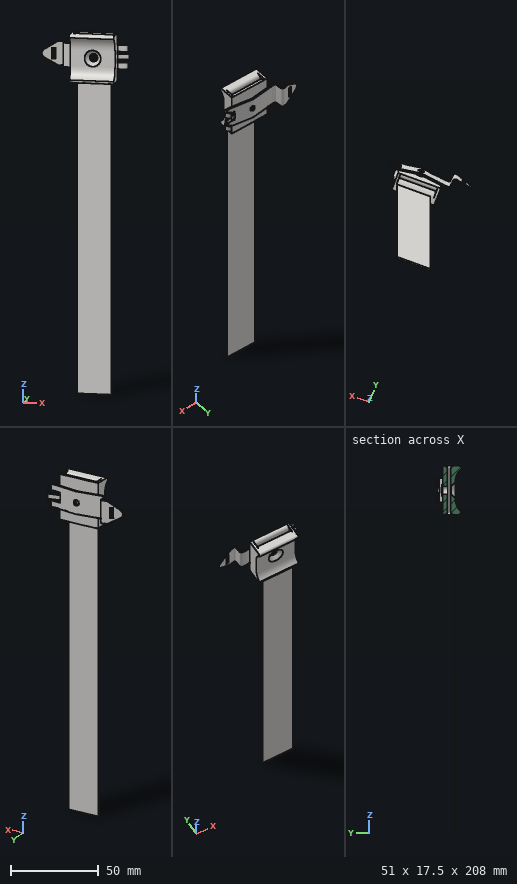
import cadquery as cq
import math


block_width = 26.0
block_depth = 11.0
block_height = 28.0
lip_radius = 1.4
saddle_depth = 3.6
saddle_flat_height = 10.0
saddle_radius = 9.0

passage_width = 22.6
passage_offset_x = 0.2
passage_front_y = 6.5
passage_back_y = 8.1
mouth_radius = 2.0
mouth_front_y = passage_front_y - mouth_radius
mouth_back_y = passage_back_y + mouth_radius

screw_hole_diameter = 4.4
clip_hole_diameter = 3.4
countersink_diameter = 9.4
countersink_angle = 90.0

strap_width = 20.0
strap_thickness = 1.2
strap_length = 180.0
strap_offset_x = 1.0

sheet = 1.0
clip_height = 14.0
clip_base_drop = 0.12
clip_base_y = block_depth - clip_base_drop + sheet / 2
bend_radius = 0.5
lever_tip = (-31.725, 13.9)
lever_top = (-18.95, 17.245)
web_foot = (-18.4, clip_base_y)
leaf_start = (-15.3, clip_base_y)
leaf_peak = (0.0, 13.35)
leaf_end = (13.9, clip_base_y)
hook_bend = (20.6, clip_base_y)
hook_tip = (16.5, 15.0)
hook_bend_radius = 0.8

lever_tip_radius = 3.0
lever_taper_angle = 31.0
lever_slot_x = -25.1
lever_slot_width = 1.9
lever_slot_height = 6.3

finger_window_start_x = 11.8
finger_window_height = 6.3
middle_finger_height = 3.1
middle_finger_start = (11.5, 11.7)
middle_finger_end = (19.19, 13.5)


def make_block():
    half_height = block_height / 2
    half_flat = saddle_flat_height / 2
    arc_angle = math.acos(1 - saddle_depth / saddle_radius)

    def saddle_point(angle, side):
        y = saddle_depth - saddle_radius * (1 - math.cos(angle))
        return (y, side * (half_flat + saddle_radius * math.sin(angle)))

    body = (
        cq.Workplane("YZ")
        .moveTo(block_depth, -half_height)
        .lineTo(lip_radius, -half_height)
        .radiusArc((0, -half_height + lip_radius), lip_radius)
        .lineTo(*saddle_point(arc_angle, -1))
        .threePointArc(saddle_point(arc_angle / 2, -1), saddle_point(0, -1))
        .lineTo(*saddle_point(0, 1))
        .threePointArc(saddle_point(arc_angle / 2, 1), saddle_point(arc_angle, 1))
        .lineTo(0, half_height - lip_radius)
        .radiusArc((lip_radius, half_height), lip_radius)
        .lineTo(block_depth, half_height)
        .close()
        .extrude(block_width / 2, both=True)
    )
    passage = (
        cq.Workplane("YZ")
        .moveTo(mouth_front_y, -half_height)
        .radiusArc((passage_front_y, -half_height + mouth_radius), -mouth_radius)
        .lineTo(passage_front_y, half_height - mouth_radius)
        .radiusArc((mouth_front_y, half_height), -mouth_radius)
        .lineTo(mouth_back_y, half_height)
        .radiusArc((passage_back_y, half_height - mouth_radius), -mouth_radius)
        .lineTo(passage_back_y, -half_height + mouth_radius)
        .radiusArc((mouth_back_y, -half_height), -mouth_radius)
        .close()
        .extrude(passage_width / 2, both=True)
        .translate((passage_offset_x, 0, 0))
    )
    countersink_depth = countersink_diameter / 2 / math.tan(math.radians(countersink_angle / 2))
    countersink = (
        cq.Workplane("XY")
        .moveTo(0, saddle_depth)
        .lineTo(countersink_diameter / 2, saddle_depth)
        .lineTo(0, saddle_depth + countersink_depth)
        .close()
        .revolve(360, (0, 0), (0, 1))
    )
    return body.cut(passage).cut(countersink).cut(make_round_hole(screw_hole_diameter))


def make_round_hole(diameter):
    """Cutter along Y that reaches through both the block and the clip."""
    reach = block_depth * 2
    return cq.Workplane("XZ").circle(diameter / 2).extrude(-reach)


def make_strap():
    """Flat strap that hangs from the underside of the block, level with the passage mouth."""
    return (
        cq.Workplane("XY", origin=(strap_offset_x, mouth_front_y - strap_thickness / 2, -block_height / 2))
        .rect(strap_width, strap_thickness)
        .extrude(-strap_length)
    )


def make_bent_sheet(path, height, radii):
    """Sheet of constant thickness along a path in XY, with one inner radius for each bend."""
    directions = [math.atan2(b[1] - a[1], b[0] - a[0]) for a, b in zip(path, path[1:])]
    sides = ([], [])
    for i, (x, y) in enumerate(path):
        before = directions[max(i - 1, 0)]
        after = directions[min(i, len(directions) - 1)]
        turn = math.remainder(after - before, 2 * math.pi)
        normal = before + turn / 2 + math.pi / 2
        mitre = sheet / 2 / math.cos(turn / 2)
        for side, sign in zip(sides, (1, -1)):
            side.append((x + sign * mitre * math.cos(normal), y + sign * mitre * math.sin(normal)))
    left, right = sides
    body = cq.Workplane("XY").polyline(left + right[::-1]).close().extrude(height / 2, both=True)
    for i, inner_radius in enumerate(radii, start=1):
        turn = math.remainder(directions[i] - directions[i - 1], 2 * math.pi)
        inner, outer = (left[i], right[i]) if turn > 0 else (right[i], left[i])
        for point, radius in ((inner, inner_radius), (outer, inner_radius + sheet)):
            bend_edge = cq.selectors.NearestToPointSelector((*point, 0))
            body = body.edges("|Z").edges(bend_edge).fillet(radius)
    return body


def make_lever_trim():
    """Plan shape of the clip: a rounded, tapered lever end that widens to a plain band."""
    half = clip_height / 2
    angle = math.radians(lever_taper_angle)
    tip_x = lever_tip[0]
    centre_x = tip_x + lever_tip_radius
    tangent_x = centre_x - lever_tip_radius * math.sin(angle)
    tangent_z = lever_tip_radius * math.cos(angle)
    shoulder_x = tangent_x + (half - tangent_z) / math.tan(angle)
    far_x = block_width
    return (
        cq.Workplane("XZ")
        .moveTo(far_x, half)
        .lineTo(shoulder_x, half)
        .lineTo(tangent_x, tangent_z)
        .threePointArc((tip_x, 0), (tangent_x, -tangent_z))
        .lineTo(shoulder_x, -half)
        .lineTo(far_x, -half)
        .close()
        .extrude(-block_depth * 2)
    )


def make_clip():
    path = [lever_tip, lever_top, web_foot, leaf_start, leaf_peak, leaf_end, hook_bend, hook_tip]
    plain_bends = len(path) - 3
    band = make_bent_sheet(path, clip_height, [bend_radius] * plain_bends + [hook_bend_radius])
    band = band.intersect(make_lever_trim())
    lever_slot = (
        cq.Workplane("XZ")
        .center(lever_slot_x, 0)
        .rect(lever_slot_width, lever_slot_height)
        .extrude(-block_depth * 2)
    )
    window = (
        cq.Workplane("XZ", origin=(finger_window_start_x, 0, 0))
        .rect(block_width, finger_window_height)
        .extrude(-block_depth * 2)
        .translate((block_width / 2, 0, 0))
    )
    middle_finger = make_bent_sheet([middle_finger_start, middle_finger_end], middle_finger_height, [])
    return band.cut(lever_slot).cut(window).union(middle_finger).cut(make_round_hole(clip_hole_diameter))


block = make_block()
strap = make_strap()
clip = make_clip()
result = cq.Compound.makeCompound([block.val(), strap.val(), clip.val()])